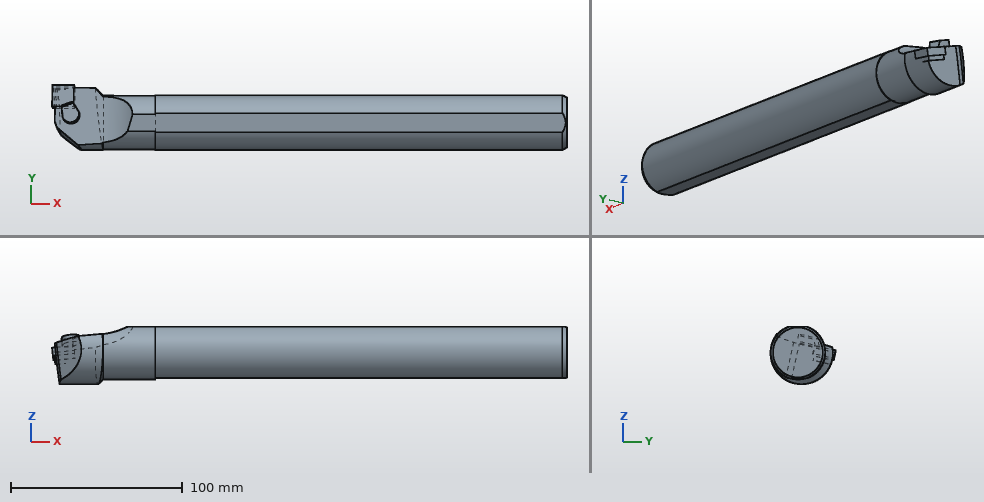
import cadquery as cq
import math

BAR_END = 299.62
SHANK_RADIUS = 16.0
FLAT_HEIGHT = 15.0
SHANK_START = 60.0
END_CHAMFER_LENGTH = 2.7
END_CHAMFER_DEPTH = 1.5

NECK_RADIUS = 15.8
NECK_START = 29.5
HEAD_RADIUS = 18.2
HEAD_OFFSET = HEAD_RADIUS - SHANK_RADIUS
HEAD_DROP = 0.35

TIP_Y = 21.94
TILT_ALONG_BAR = 6.0
TILT_ACROSS_BAR = 13.0

RAKE_LENGTH = 30.0
RUNOUT_RADIUS = 30.0

INSERT_EDGE = 12.7
INSERT_THICKNESS = 4.76
SHIM_INSET = 0.9
SHIM_THICKNESS = 2.7

END_FACE_INSET = 1.8
END_FACE_FOOT = -21.8
LAND_WIDTH = 1.2
LAND_HEIGHT = 3.4
BEVEL_ANGLE = 40.0
RELIEF_ANGLE = 1.5

CLAMP_HEIGHT = 4.2
CLAMP_RADIUS = 5.0
CLAMP_CENTRE = (11.4, -18.2)
CLAMP_DIRECTION = 110.0
CLAMP_NOSE_REACH = 7.6
CLAMP_NOSE_WIDTH = 6.4
CLAMP_BEVEL = 2.0

CUT_SIZE = 60.0

slope_x = math.tan(math.radians(TILT_ALONG_BAR))
slope_y = math.tan(math.radians(TILT_ACROSS_BAR))
rake = cq.Plane(origin=(0, TIP_Y, 0), xDir=(1, 0, slope_x), normal=(-slope_x, slope_y, 1))


def rake_offset(height):
    """Workplane parallel to the rake plane, raised by height."""
    return cq.Workplane(rake).workplane(offset=height)


def x_cylinder(radius, start, end, y=0.0, z=0.0):
    """Cylinder along X from start to end, with its axis at (y, z)."""
    return cq.Workplane("YZ", origin=(start, y, z)).circle(radius).extrude(end - start)


def make_shank():
    """Round shank with top and bottom flats and a tapered rear end."""
    shank = (
        cq.Workplane("XY")
        .moveTo(SHANK_START, 0)
        .lineTo(SHANK_START, SHANK_RADIUS)
        .lineTo(BAR_END - END_CHAMFER_LENGTH, SHANK_RADIUS)
        .lineTo(BAR_END, SHANK_RADIUS - END_CHAMFER_DEPTH)
        .lineTo(BAR_END, 0)
        .close()
        .revolve(360, (0, 0, 0), (1, 0, 0))
    )
    flats = cq.Workplane("XY").box(2 * BAR_END, 2 * SHANK_RADIUS, 2 * FLAT_HEIGHT)
    return shank.intersect(flats)


def make_neck():
    """Round neck that carries only the top flat."""
    neck = x_cylinder(NECK_RADIUS, NECK_START, SHANK_START)
    above_flat = (
        cq.Workplane("XY", origin=(SHANK_START / 2, 0, FLAT_HEIGHT))
        .rect(SHANK_START, CUT_SIZE)
        .extrude(CUT_SIZE)
    )
    return neck.cut(above_flat)


def head_sides(depth):
    """Head outline below the rake face: end face, corner land and bevel on the tip side."""
    land = (END_FACE_INSET + LAND_WIDTH, END_FACE_FOOT - LAND_HEIGHT)
    bevel_end = (land[0] + CUT_SIZE, land[1] - CUT_SIZE * math.tan(math.radians(BEVEL_ANGLE)))
    return (
        rake_offset(-depth)
        .moveTo(END_FACE_INSET, CUT_SIZE)
        .lineTo(END_FACE_INSET, END_FACE_FOOT)
        .lineTo(*land)
        .lineTo(*bevel_end)
        .lineTo(bevel_end[0], CUT_SIZE)
        .close()
    )


def make_head():
    """Eccentric head blended into the neck by a 45 degree cone on the bar axis."""
    head = x_cylinder(HEAD_RADIUS, -CUT_SIZE, NECK_START, HEAD_OFFSET, -HEAD_DROP)
    cone = (
        cq.Workplane("XY")
        .moveTo(NECK_START, 0)
        .lineTo(NECK_START, NECK_RADIUS)
        .lineTo(NECK_START - CUT_SIZE, NECK_RADIUS + CUT_SIZE)
        .lineTo(NECK_START - CUT_SIZE, 0)
        .close()
        .revolve(360, (0, 0, 0), (1, 0, 0))
    )
    break_depth = INSERT_THICKNESS + SHIM_THICKNESS
    upper = head_sides(break_depth).extrude(CUT_SIZE)
    lower = head_sides(break_depth).extrude(-CUT_SIZE / 2, taper=RELIEF_ANGLE)
    return head.intersect(cone).intersect(upper.union(lower))


def make_rake_cutter():
    """Everything above the rake face, ending in a concave cylindrical run-out."""
    side = cq.Plane(origin=rake.toWorldCoords((0, CUT_SIZE, 0)).toTuple(),
                    xDir=rake.xDir.toTuple(), normal=(-rake.yDir).toTuple())
    arc_mid = (RAKE_LENGTH + RUNOUT_RADIUS * math.sin(math.pi / 4),
               RUNOUT_RADIUS * (1 - math.cos(math.pi / 4)))
    return (
        cq.Workplane(side)
        .moveTo(-CUT_SIZE, 0)
        .lineTo(RAKE_LENGTH, 0)
        .threePointArc(arc_mid, (RAKE_LENGTH + RUNOUT_RADIUS, RUNOUT_RADIUS))
        .lineTo(-CUT_SIZE, RUNOUT_RADIUS)
        .close()
        .extrude(3 * CUT_SIZE)
    )


def insert_block(depth, thickness, inset):
    """Square block below the rake face, with one corner at the tip when inset is zero."""
    side = INSERT_EDGE - 2 * inset
    return (
        rake_offset(-depth)
        .center(INSERT_EDGE / 2, -INSERT_EDGE / 2)
        .rect(side, side)
        .extrude(-thickness)
    )


def clamp_plane():
    """Workplane on the rake face at the clamp, local X pointing to the clamp nose."""
    return rake_offset(0).center(*CLAMP_CENTRE).transformed(rotate=(0, 0, CLAMP_DIRECTION))


def make_clamp():
    """Round-backed clamp standing on the rake face, nose pointing to the insert."""
    half = CLAMP_NOSE_WIDTH / 2
    clamp = (
        clamp_plane()
        .moveTo(0, CLAMP_RADIUS)
        .threePointArc((-CLAMP_RADIUS, 0), (0, -CLAMP_RADIUS))
        .lineTo(CLAMP_NOSE_REACH, -half)
        .lineTo(CLAMP_NOSE_REACH, half)
        .close()
        .extrude(CLAMP_HEIGHT)
    )
    nose_cut = (
        clamp_plane().transformed(rotate=(90, 0, 0))
        .polyline([(CLAMP_NOSE_REACH, 0), (CLAMP_NOSE_REACH, CLAMP_HEIGHT),
                   (CLAMP_NOSE_REACH - CLAMP_BEVEL, CLAMP_HEIGHT)])
        .close()
        .extrude(CLAMP_RADIUS, both=True)
    )
    return clamp.cut(nose_cut)


insert = insert_block(0, INSERT_THICKNESS, 0)
shim = insert_block(INSERT_THICKNESS, SHIM_THICKNESS, SHIM_INSET)
holder = (
    make_head()
    .union(make_neck())
    .union(make_shank())
    .cut(make_rake_cutter())
    .union(shim)
    .cut(insert)
    .union(make_clamp())
)

result = cq.Compound.makeCompound([holder.val(), insert.val()])